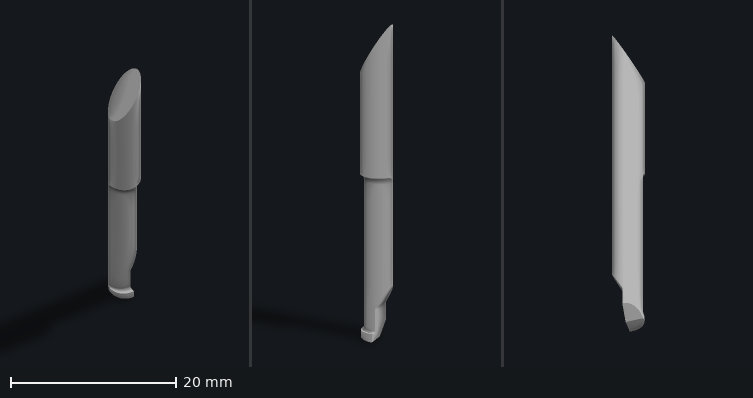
import cadquery as cq
import math

length = 40.7
diameter = 4.0
radius = diameter / 2
oversize = 4 * diameter

end_bevel_angle = 30.0

neck_offset = 1.0
neck_top = 20.25
crease_x = -neck_offset / 2
crease_y = -math.sqrt(radius**2 - crease_x**2)

rake_y = 0.3
rake_height = 4.05
rake_runout_angle = 30.0

tip_chamfer_height = 1.8
tip_chamfer_reach = 1.8
end_relief_angle = 3.5
end_clearance_angle = 3.0

head_height = 0.95
head_fillet = 0.25
head_flare = 0.2
side_relief_angle = 4.5
corner_x = 1.85

bar = cq.Workplane("XY").circle(radius).extrude(length)


def make_end_bevel():
    """Waste above the slanted end face."""
    bevel_height = diameter / math.tan(math.radians(end_bevel_angle))
    return (
        cq.Workplane("YZ")
        .moveTo(radius, length)
        .lineTo(-radius, length - bevel_height)
        .lineTo(-oversize, length - bevel_height)
        .lineTo(-oversize, length)
        .close()
        .extrude(oversize, both=True)
    )


def revolve_about_neck(profile):
    """Revolve a profile of (distance from neck axis, Z) and place it on the neck."""
    return profile.close().revolve(360, (0, 0), (0, 1)).translate((-neck_offset, 0, 0))


def make_neck_cut():
    """Crescent waste around the neck, with a quarter-round run-out at the top."""
    outer = radius + neck_offset
    runout_top = neck_top + neck_offset
    arc_point = neck_offset * math.sin(math.radians(45))
    profile = (
        cq.Workplane("XZ")
        .moveTo(radius, -diameter)
        .lineTo(radius, neck_top)
        .threePointArc((outer - arc_point, neck_top + arc_point), (outer, runout_top))
        .lineTo(oversize, runout_top)
        .lineTo(oversize, -diameter)
    )
    return revolve_about_neck(profile)


def make_rake_cut():
    """Waste behind the flat rake face and its slanted run-out."""
    runout_y = 2 * radius
    runout_height = (runout_y - rake_y) / math.tan(math.radians(rake_runout_angle))
    return (
        cq.Workplane("YZ")
        .moveTo(rake_y, -diameter)
        .lineTo(rake_y, rake_height)
        .lineTo(runout_y, rake_height + runout_height)
        .lineTo(runout_y, -diameter)
        .close()
        .extrude(oversize, both=True)
    )


def make_tip_chamfer():
    """Waste under the sloping face on the -X side of the tip."""
    return (
        cq.Workplane("XZ")
        .moveTo(-radius, tip_chamfer_height)
        .lineTo(-radius + tip_chamfer_reach, 0)
        .lineTo(-radius, 0)
        .close()
        .extrude(oversize, both=True)
    )


def make_end_relief():
    """Waste under the end face, which tilts up from the cutting corner."""
    return (
        cq.Workplane("XY")
        .rect(oversize, oversize)
        .extrude(-diameter)
        .rotate((0, 0, 0), (1, 0, 0), -end_relief_angle)
        .rotate((0, 0, 0), (0, 1, 0), end_clearance_angle)
        .translate((corner_x, rake_y, 0))
    )


def make_shank():
    shank = bar.cut(make_end_bevel()).cut(make_neck_cut()).cut(make_rake_cut())
    return shank.cut(make_tip_chamfer()).cut(make_end_relief())


def make_head():
    """Crescent on the neck, filleted at the top and relieved behind its cutting edge."""
    outer = radius + neck_offset
    arc_point = head_fillet * (1 - math.sin(math.radians(45)))
    profile = (
        cq.Workplane("XZ")
        .moveTo(radius, -diameter)
        .lineTo(radius, head_height + head_fillet)
        .threePointArc(
            (radius + arc_point, head_height + arc_point),
            (radius + head_fillet, head_height),
        )
        .lineTo(outer, head_height + head_flare)
        .lineTo(outer, -diameter)
    )
    relief_circle = bar.rotate(
        (crease_x, crease_y, 0), (crease_x, crease_y, 1), side_relief_angle
    )
    head = revolve_about_neck(profile).intersect(relief_circle)
    return head.cut(make_rake_cut()).cut(make_end_relief())


shank = make_shank()
head = make_head()
result = cq.Compound.makeCompound([shank.solids().val(), head.solids().val()])